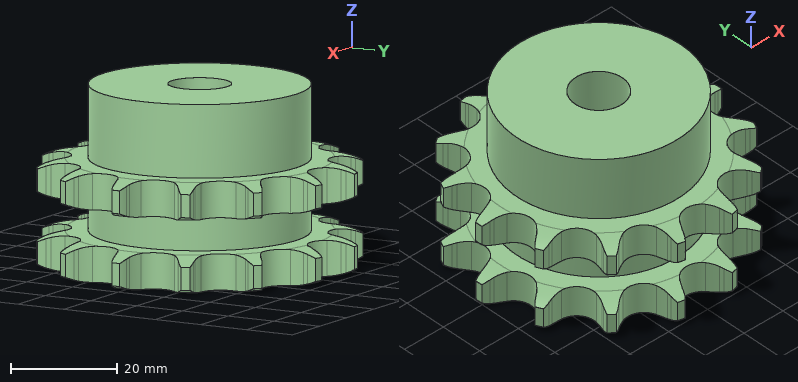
import cadquery as cq
import math


tooth_count = 14
outer_diameter = 61.8
pitch_diameter = 57.05
roller_diameter = 8.5
roller_clearance = 0.04

hub_diameter = 42.0
bore_diameter = 12.0
total_height = 35.0

plate_count = 2
plate_thickness = 7.0
plate_spacing = 13.9

bevel_width = 5.55
bevel_radius = 12.65

outer_radius = outer_diameter / 2
pitch_radius = pitch_diameter / 2

seating_angle = math.radians(35 + 60 / tooth_count)
working_angle = math.radians(18 - 56 / tooth_count)
pressure_angle = math.radians(17 - 64 / tooth_count)
flank_angle = seating_angle - working_angle

working_center_distance = 0.8 * roller_diameter
topping_center_distance = 1.4 * roller_diameter
seating_radius = roller_diameter / 2 + roller_clearance
working_radius = working_center_distance + seating_radius
flank_length = (
    topping_center_distance * math.sin(pressure_angle)
    - working_center_distance * math.sin(working_angle)
)
topping_radius = (
    working_center_distance * math.cos(working_angle)
    + topping_center_distance * math.cos(pressure_angle)
    - working_radius
)


def point_on_arc(center, radius, angle):
    return (center[0] + radius * math.cos(angle), center[1] + radius * math.sin(angle))


def mirrored(point):
    return (-point[0], point[1])


def tooth_gap_outline():
    """Outline of the gap centred on the +Y axis, with the roller seat at the pitch radius."""
    seat_center = (0, pitch_radius)
    seat_bottom = (0, pitch_radius - seating_radius)
    seat_end = point_on_arc(seat_center, seating_radius, -seating_angle)

    working_center = point_on_arc(seat_center, working_center_distance, math.pi - seating_angle)
    working_middle = point_on_arc(working_center, working_radius, working_angle / 2 - seating_angle)
    working_end = point_on_arc(working_center, working_radius, -flank_angle)

    flank_end = point_on_arc(working_end, flank_length, math.pi / 2 - flank_angle)

    topping_center = point_on_arc(flank_end, topping_radius, -flank_angle)
    topping_start_angle = math.pi - flank_angle
    topping_end_angle = math.pi / 2
    topping_middle_angle = (topping_start_angle + topping_end_angle) / 2
    topping_middle = point_on_arc(topping_center, topping_radius, topping_middle_angle)
    topping_end = point_on_arc(topping_center, topping_radius, topping_end_angle)

    return (
        cq.Workplane("XY")
        .moveTo(*topping_end)
        .threePointArc(topping_middle, flank_end)
        .lineTo(*working_end)
        .threePointArc(working_middle, seat_end)
        .threePointArc(seat_bottom, mirrored(seat_end))
        .threePointArc(mirrored(working_middle), mirrored(working_end))
        .lineTo(*mirrored(flank_end))
        .threePointArc(mirrored(topping_middle), mirrored(topping_end))
        .close()
    )


def plate_blank():
    """Disc with both sides curving inwards towards the rim."""
    flat_radius = outer_radius - bevel_width
    bevel_angle = math.asin(bevel_width / bevel_radius)
    top_center = (flat_radius, plate_thickness - bevel_radius)
    bottom_center = (flat_radius, bevel_radius)
    top_middle = point_on_arc(top_center, bevel_radius, (math.pi - bevel_angle) / 2)
    top_rim = point_on_arc(top_center, bevel_radius, math.pi / 2 - bevel_angle)
    bottom_middle = point_on_arc(bottom_center, bevel_radius, (bevel_angle - math.pi) / 2)
    bottom_rim = point_on_arc(bottom_center, bevel_radius, bevel_angle - math.pi / 2)

    return (
        cq.Workplane("XZ")
        .lineTo(flat_radius, 0)
        .threePointArc(bottom_middle, bottom_rim)
        .lineTo(*top_rim)
        .threePointArc(top_middle, (flat_radius, plate_thickness))
        .lineTo(0, plate_thickness)
        .close()
        .revolve(360, (0, 0, 0), (0, 1, 0))
    )


def toothed_plate():
    """Plate with the gaps cut; one tooth points along +X."""
    plate = plate_blank()
    gap = tooth_gap_outline().extrude(plate_thickness)
    tooth_angle = 360 / tooth_count
    for index in range(tooth_count):
        gap_angle = (index + 0.5) * tooth_angle - 90
        plate = plate.cut(gap.rotate((0, 0, 0), (0, 0, 1), gap_angle))
    return plate


result = cq.Workplane("XY").circle(hub_diameter / 2).extrude(total_height)
plate = toothed_plate()
for level in range(plate_count):
    result = result.union(plate.translate((0, 0, level * plate_spacing)))

bore = cq.Workplane("XY").circle(bore_diameter / 2).extrude(total_height)
result = result.cut(bore)